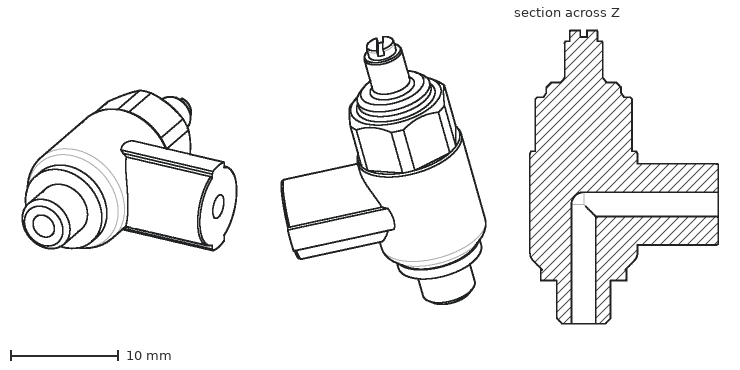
import cadquery as cq
import math

total_length = 27.2

body_radius = 5.0
body_top = 16.0
body_top_chamfer = 0.1
body_top_chamfer_length = 0.25
shoulder_fillet_radius = 1.0
cone_bottom_radius = 3.85
spigot_radius = 2.5
spigot_chamfer = 0.5
flange_radius = 4.0
flange_bottom = 4.0
flange_top = 5.0

hex_across_flats = 9.0
hex_corner_radius = 4.9
hex_top = 21.0
hex_chamfer = 0.57

collar_radius = 3.48
collar_foot_radius = 3.75
collar_foot_top = 21.4
collar_chamfer_start = 21.92
collar_top = 22.39
stem_radius = 1.8
stem_foot_radius = 2.12
stem_foot_top = 22.8
stem_top = 26.2
stem_chamfer = 0.2
stem_chamfer_depth = 0.08
tip_radius = 1.3
tip_chamfer = 0.2
tip_chamfer_depth = 0.05
slot_width = 0.6
slot_depth = 0.6

arm_y = 11.07
arm_end = 12.48
arm_radius = 3.78
arm_chamfer_length = 0.2
arm_chamfer_depth = 0.08
rib_crest_radius = 4.25
rib_half_width = 1.2
rib_chamfer_width = 0.14
rib_chamfer_start = 3.9

bore_diameter = 2.23


def revolve_around_y(profile):
    return profile.close().revolve(360, (0, 0, 0), (0, 1, 0))


def make_body():
    cos_45 = math.cos(math.pi / 4)
    cos_half = math.cos(math.pi / 8)
    sin_half = math.sin(math.pi / 8)
    fillet_center_x = body_radius - shoulder_fillet_radius
    cone_radius = fillet_center_x + shoulder_fillet_radius * cos_45
    cone_top = flange_top + cone_radius - cone_bottom_radius
    fillet_top = cone_top + shoulder_fillet_radius * cos_45
    fillet_middle = (
        fillet_center_x + shoulder_fillet_radius * cos_half,
        fillet_top - shoulder_fillet_radius * sin_half,
    )
    profile = (
        cq.Workplane("XY")
        .moveTo(0, 0)
        .lineTo(spigot_radius - spigot_chamfer, 0)
        .lineTo(spigot_radius, spigot_chamfer)
        .lineTo(spigot_radius, flange_bottom)
        .lineTo(flange_radius, flange_bottom)
        .lineTo(flange_radius, flange_top)
        .lineTo(cone_bottom_radius, flange_top)
        .lineTo(cone_radius, cone_top)
        .threePointArc(fillet_middle, (body_radius, fillet_top))
        .lineTo(body_radius, body_top - body_top_chamfer_length)
        .lineTo(body_radius - body_top_chamfer, body_top)
        .lineTo(0, body_top)
    )
    return revolve_around_y(profile)


def make_hex():
    across_corners = hex_across_flats / math.cos(math.pi / 6)
    prism = (
        cq.Workplane("XZ", origin=(0, body_top, 0))
        .polygon(6, across_corners)
        .extrude(body_top - hex_top)
        .rotate((0, 0, 0), (0, 1, 0), 30)
    )
    envelope = revolve_around_y(
        cq.Workplane("XY")
        .moveTo(0, body_top)
        .lineTo(hex_corner_radius, body_top)
        .lineTo(hex_corner_radius, hex_top - hex_chamfer)
        .lineTo(hex_corner_radius - hex_chamfer, hex_top)
        .lineTo(0, hex_top)
    )
    return prism.intersect(envelope)


def make_stem():
    collar_chamfer = collar_top - collar_chamfer_start
    profile = (
        cq.Workplane("XY")
        .moveTo(0, body_top)
        .lineTo(collar_foot_radius, body_top)
        .lineTo(collar_foot_radius, hex_top)
        .lineTo(collar_radius, collar_foot_top)
        .lineTo(collar_radius, collar_chamfer_start)
        .lineTo(collar_radius - collar_chamfer, collar_top)
        .lineTo(stem_foot_radius, collar_top)
        .lineTo(stem_radius, stem_foot_top)
        .lineTo(stem_radius, stem_top - stem_chamfer)
        .lineTo(stem_radius - stem_chamfer_depth, stem_top)
        .lineTo(tip_radius, stem_top)
        .lineTo(tip_radius, total_length - tip_chamfer)
        .lineTo(tip_radius - tip_chamfer_depth, total_length)
        .lineTo(0, total_length)
    )
    slot = cq.Workplane("XY").box(slot_width, 2 * slot_depth, 4 * tip_radius)
    return revolve_around_y(profile).cut(slot.translate((0, total_length, 0)))


def make_arm():
    barrel = (
        cq.Workplane("XY")
        .moveTo(0, arm_y)
        .lineTo(0, arm_y + arm_radius)
        .lineTo(arm_end - arm_chamfer_length, arm_y + arm_radius)
        .lineTo(arm_end, arm_y + arm_radius - arm_chamfer_depth)
        .lineTo(arm_end, arm_y)
        .close()
        .revolve(360, (0, arm_y, 0), (1, arm_y, 0))
    )
    chamfer_y = rib_chamfer_width - rib_half_width
    crest_z = math.sqrt(rib_crest_radius**2 - chamfer_y**2)
    far_z = math.sqrt(rib_crest_radius**2 - rib_half_width**2)
    rib = (
        cq.Workplane("YZ", origin=(0, arm_y, 0))
        .moveTo(-rib_half_width, 0)
        .lineTo(-rib_half_width, rib_chamfer_start)
        .lineTo(chamfer_y, crest_z)
        .threePointArc((0, rib_crest_radius), (rib_half_width, far_z))
        .lineTo(rib_half_width, 0)
        .close()
        .extrude(arm_end)
    )
    return barrel.union(rib).union(rib.mirror("XY"))


def make_passage():
    bore_radius = bore_diameter / 2
    inlet = cq.Workplane("XZ").circle(bore_radius).extrude(-arm_y)
    outlet = cq.Workplane("YZ", origin=(0, arm_y, 0)).circle(bore_radius).extrude(arm_end)
    elbow = cq.Workplane("XY", origin=(0, arm_y, 0)).sphere(bore_radius)
    return inlet.union(outlet).union(elbow)


result = make_body().union(make_hex()).union(make_stem()).union(make_arm()).cut(make_passage())